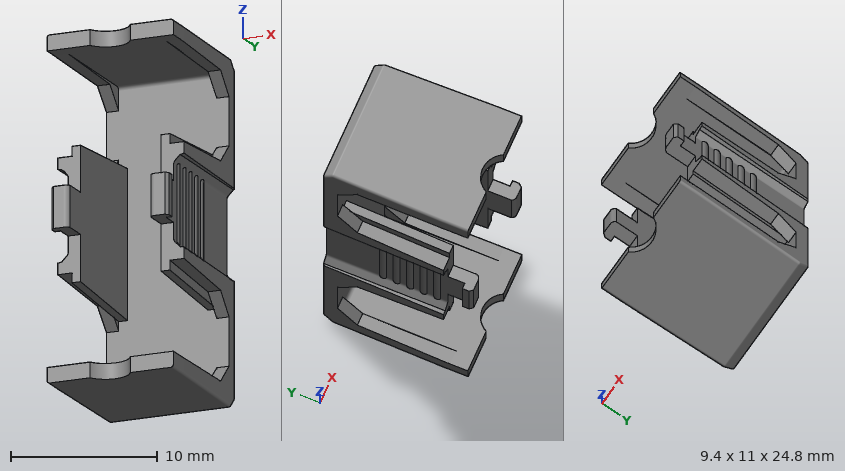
import math

import cadquery as cq


height = 24.8
front_width = 9.4
plate_depth = 10.8
plate_thickness = 1.13
back_thickness = 1.1
back_chamfer = 0.7
edge_round = 0.2
inner_corner_round = 0.27
draft_angle = 1.0

arm_depth = 9.0
arm_inner_x = 3.0
rim_inner_x = 3.65
arm_front_half_height = 4.16
lip_front_half_height = 4.86
arm_taper_angle = 4.0

ramp_leg = 1.48
rim_rise = 0.19
rim_end_depth = 9.5

notch_radius = 1.7
notch_depth = 0.9

recess_half_height = 3.34
recess_ledge_drop = 0.06
recess_slope_leg = 0.38
recess_round = 0.33
recess_floor_x = 3.93

rib_count = 5
first_rib_depth = 4.2
rib_pitch = 1.0
rib_width = 0.52
rib_height = 0.08

hook_half_height = 1.5
hook_depth = 11.0
hook_head_start = 10.25
hook_outer_x = 4.36
hook_bevel_width = 0.21
hook_bevel_length = 0.25
hook_nose_width = 0.36
hook_nose_length = 0.25

half_height = height / 2
half_front = front_width / 2
half_back = half_front - arm_depth * math.tan(math.radians(draft_angle))
plate_inner_z = half_height - plate_thickness
ramp_depth = back_thickness + ramp_leg
arm_taper = math.tan(math.radians(arm_taper_angle))
slope_outer_z = recess_half_height - recess_ledge_drop
hook_nose_radius = (hook_nose_width ** 2 + hook_nose_length ** 2) / (2 * hook_nose_length)
rib_radius = (rib_width ** 2 / 4 + rib_height ** 2) / (2 * rib_height)


def both_sides(solid):
    """The solid together with its mirror image across X = 0."""
    return solid.union(solid.mirror("YZ"))


def side_profile(points, x_start, x_end):
    """Extrude a (depth, z) outline along X from x_start to x_end."""
    outline = [(-depth, z) for depth, z in points]
    plane = cq.Workplane("YZ", origin=(x_start, 0, 0))
    return plane.polyline(outline).close().extrude(x_end - x_start)


def mirrored_outline(upper):
    """Complete an upper (depth, z) outline with its reflection across Z = 0."""
    lower = [(depth, -z) for depth, z in reversed(upper)]
    return upper + lower


def make_envelope():
    """Drafted outer block with bevelled back corners and rounded edges."""
    block = (
        cq.Workplane("XY", origin=(0, 0, -half_height))
        .moveTo(-half_back, 0)
        .lineTo(-half_front, -arm_depth)
        .lineTo(-half_front, -hook_depth)
        .lineTo(half_front, -hook_depth)
        .lineTo(half_front, -arm_depth)
        .lineTo(half_back, 0)
        .close()
        .extrude(height)
    )
    bevelled = block.edges(">Y and |X").chamfer(back_chamfer)
    side_edges = bevelled.edges("not |Z").edges("not <Y")
    back_edges = bevelled.faces(">Y").edges("|Z")
    return side_edges.add(back_edges).fillet(edge_round)


def make_channel():
    """Back wall and two end plates, with rounded inside corners."""
    block = (
        cq.Workplane("XY")
        .box(front_width, plate_depth, height)
        .translate((0, -plate_depth / 2, 0))
    )
    pocket = (
        cq.Workplane("XY")
        .box(front_width, plate_depth, 2 * plate_inner_z)
        .translate((0, -back_thickness - plate_depth / 2, 0))
        .edges(">Y and |X")
        .fillet(inner_corner_round)
    )
    return block.cut(pocket)


def make_rim():
    """Corner ramp and sloping rim along one side of the upper end plate."""
    ramp_top_z = plate_inner_z - rim_rise
    points = [
        (0, ramp_top_z - ramp_leg),
        (back_thickness, ramp_top_z - ramp_leg),
        (ramp_depth, ramp_top_z),
        (rim_end_depth, plate_inner_z),
        (0, plate_inner_z),
    ]
    rim = side_profile(points, rim_inner_x, half_front)
    return rim.union(rim.mirror("XY"))


def make_arm():
    """One side arm: a stepped wall with ramps where it meets the back."""
    ramp_foot_z = arm_front_half_height + arm_taper * (arm_depth - ramp_depth)
    upper_outline = [
        (0, ramp_foot_z + ramp_leg),
        (back_thickness, ramp_foot_z + ramp_leg),
        (ramp_depth, ramp_foot_z),
        (arm_depth, arm_front_half_height),
    ]
    lip_outline = [
        (0, lip_front_half_height + arm_taper * arm_depth),
        (arm_depth, lip_front_half_height),
    ]
    outer = side_profile(mirrored_outline(upper_outline), rim_inner_x, half_front)
    lip = side_profile(mirrored_outline(lip_outline), arm_inner_x, rim_inner_x)
    return outer.union(lip)


def cut_notches(body):
    """Scallop the middle of both end plates at the front edge."""
    centre_depth = plate_depth - notch_depth + notch_radius
    cutter = (
        cq.Workplane("XY")
        .center(0, -centre_depth)
        .circle(notch_radius)
        .extrude(half_height, both=True)
    )
    return body.cut(cutter)


def make_recess():
    """Cutter for the grip recess: ledge, slope, rounded corner and flat floor."""
    slope_inner_x = recess_floor_x + recess_round * (1 - math.cos(math.pi / 4))
    slope_outer_x = slope_inner_x + recess_slope_leg
    slope_inner_z = slope_outer_z - recess_slope_leg
    floor_z = slope_inner_z - recess_round * math.sin(math.pi / 4)
    arc_middle_x = recess_floor_x + recess_round * (1 - math.cos(math.pi / 8))
    arc_middle_z = floor_z + recess_round * math.sin(math.pi / 8)
    return (
        cq.Workplane("XZ")
        .moveTo(half_front, -recess_half_height)
        .lineTo(slope_outer_x, -slope_outer_z)
        .lineTo(slope_inner_x, -slope_inner_z)
        .threePointArc((arc_middle_x, -arc_middle_z), (recess_floor_x, -floor_z))
        .lineTo(recess_floor_x, floor_z)
        .threePointArc((arc_middle_x, arc_middle_z), (slope_inner_x, slope_inner_z))
        .lineTo(slope_outer_x, slope_outer_z)
        .lineTo(half_front, recess_half_height)
        .close()
        .extrude(arm_depth)
    )


def make_ribs():
    """Shallow rounded grip ribs standing on the floor of the recess."""
    ribs = cq.Workplane("XY")
    rib_half_height = slope_outer_z - recess_slope_leg
    for index in range(rib_count):
        depth = first_rib_depth + index * rib_pitch
        rib = (
            cq.Workplane("XY")
            .center(recess_floor_x + rib_height - rib_radius, -depth)
            .circle(rib_radius)
            .extrude(rib_half_height, both=True)
        )
        ribs = ribs.union(rib)
    return ribs


def make_hook():
    """Snap hook on the front of one arm, its head turned outward."""
    return (
        cq.Workplane("XY")
        .moveTo(arm_inner_x, -arm_depth)
        .lineTo(arm_inner_x, -hook_depth + hook_nose_length)
        .radiusArc((arm_inner_x + hook_nose_width, -hook_depth), -hook_nose_radius)
        .lineTo(hook_outer_x - hook_bevel_width, -hook_depth)
        .lineTo(hook_outer_x, -hook_depth + hook_bevel_length)
        .lineTo(hook_outer_x, -hook_head_start)
        .lineTo(recess_floor_x, -hook_head_start)
        .lineTo(recess_floor_x, -arm_depth)
        .close()
        .extrude(hook_half_height, both=True)
    )


envelope = make_envelope()
sides = both_sides(make_rim().union(make_arm()))
body = make_channel().union(sides).intersect(envelope)
body = cut_notches(body)
body = body.cut(both_sides(make_recess()))
result = body.union(both_sides(make_ribs())).union(both_sides(make_hook()))